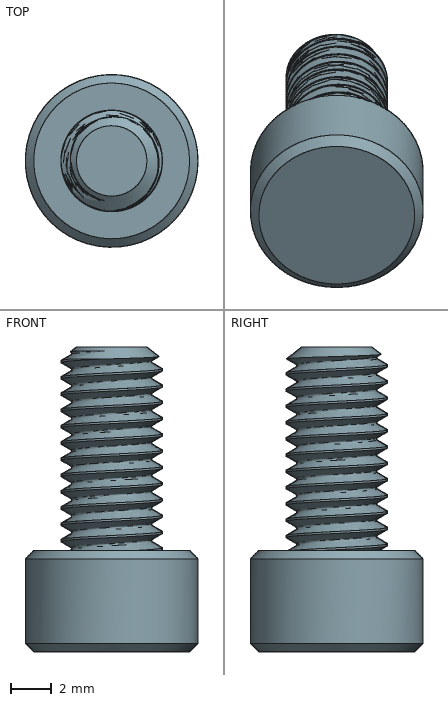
import cadquery as cq
import math

total_length = 15.0
head_diameter = 8.5
head_height = 5.0
head_chamfer = 0.42

thread_diameter = 5.0
root_diameter = 3.96
turns = 12.5
root_height_on_x_axis = 0.48
flat_share = 1 / 8

tip_diameter = 3.46
tip_cone_height = 0.6

crest_radius = thread_diameter / 2
root_radius = root_diameter / 2
shank_length = total_length - head_height
pitch = shank_length / turns
flank_share = 1 / 2 - flat_share


def make_head():
    """Plain cylindrical head with both rims chamfered."""
    head = cq.Workplane("XY").circle(head_diameter / 2).extrude(head_height)
    return head.edges("%CIRCLE").chamfer(head_chamfer)


def polar_point(radius, turn):
    angle = 2 * math.pi * turn
    return (radius * math.cos(angle), radius * math.sin(angle))


def make_thread():
    """Threaded rod: its level cross-section, twisted one turn per pitch.

    Around the section, a root arc and a crest arc are joined by two
    Archimedean spirals, which become the straight-sided thread flanks.
    """
    root_start = -flat_share / 2
    root_end = flat_share / 2
    crest_start = root_end + flank_share
    crest_end = crest_start + flat_share
    depth = crest_radius - root_radius

    def rising_flank(t):
        return polar_point(root_radius + depth * t, root_end + flank_share * t)

    def falling_flank(t):
        return polar_point(crest_radius - depth * t, crest_end + flank_share * t)

    section = (
        cq.Workplane("XY")
        .moveTo(*polar_point(root_radius, root_start))
        .threePointArc(polar_point(root_radius, 0), polar_point(root_radius, root_end))
        .parametricCurve(rising_flank, makeWire=False)
        .threePointArc(polar_point(crest_radius, 1 / 2), polar_point(crest_radius, crest_end))
        .parametricCurve(falling_flank, makeWire=False)
        .wire()
    )
    rod = section.twistExtrude(shank_length, 360 * turns)
    start_angle = -360 * root_height_on_x_axis / pitch
    return rod.rotate((0, 0, 0), (0, 0, 1), start_angle).translate((0, 0, head_height))


def make_tip_envelope():
    """Cone that trims the top of the thread and clears it everywhere below."""
    slope = (crest_radius - tip_diameter / 2) / tip_cone_height
    base_radius = tip_diameter / 2 + slope * shank_length
    return (
        cq.Workplane("XZ")
        .moveTo(0, head_height)
        .lineTo(base_radius, head_height)
        .lineTo(tip_diameter / 2, total_length)
        .lineTo(0, total_length)
        .close()
        .revolve(360, (0, 0, 0), (0, 1, 0))
    )


shank = make_thread().intersect(make_tip_envelope())
result = make_head().union(shank)